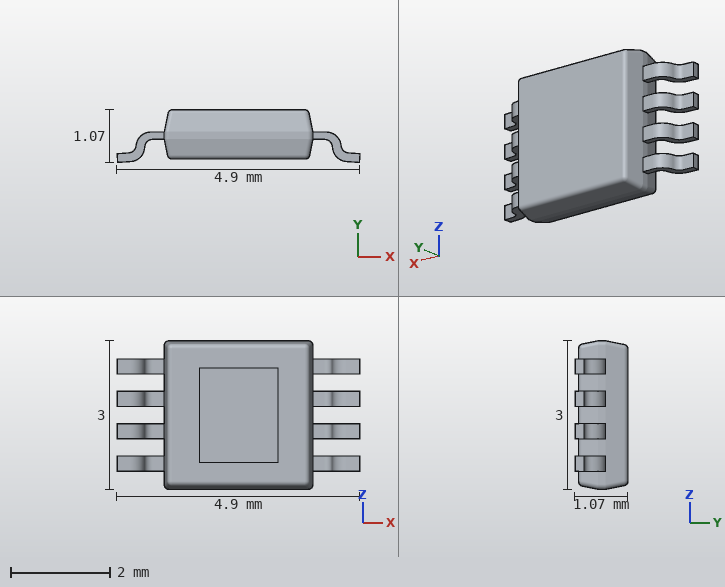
import cadquery as cq
import math

LEAD_SPAN = 4.9
BODY_SIDE = 3.0
FRONT_DEPTH = 0.395
BAND_DEPTH = 0.15
BACK_DEPTH = 0.45
DRAFT_ANGLE = 11.5
BODY_FILLET = 0.1

PAD_WIDTH = 1.585
PAD_HEIGHT = 1.9
PAD_THICKNESS = 0.15

LEADS_PER_ROW = 4
LEAD_PITCH = 0.65
LEAD_WIDTH = 0.31
LEAD_THICKNESS = 0.18
SHOULDER_REACH = 2.02
WEB_ANGLE = 10.0
FOOT_ANGLE = 4.0
FOOT_STANDOFF = 0.07
INNER_BEND_RADIUS = 0.15
OUTER_BEND_RADIUS = 0.3

BODY_HALF = BODY_SIDE / 2
BAND_FRONT = FRONT_DEPTH
BAND_BACK = BAND_FRONT + BAND_DEPTH
BODY_BACK = BAND_BACK + BACK_DEPTH


def square_slab(y_start, depth, taper=0.0):
    """Slab with the full square at y_start; a negative depth grows towards -Y."""
    plane = cq.Workplane("XZ", origin=(0, y_start, 0))
    return plane.rect(BODY_SIDE, BODY_SIDE).extrude(-depth, taper=taper)


def make_pad():
    """Rectangular pad, flush with the front face of the housing."""
    return cq.Workplane("XZ").rect(PAD_WIDTH, PAD_HEIGHT).extrude(-PAD_THICKNESS)


def make_housing(pad):
    """Housing tapered both ways from its band, rounded, with a recess for the pad."""
    band = square_slab(BAND_FRONT, BAND_DEPTH)
    front = square_slab(BAND_FRONT, -FRONT_DEPTH, DRAFT_ANGLE)
    back = square_slab(BAND_BACK, BACK_DEPTH, DRAFT_ANGLE)
    block = band.union(front).union(back)

    corner_edges = block.edges("not(#Y)")
    face_edges = block.faces("<Y or >Y").edges()
    rounded = corner_edges.add(face_edges).fillet(BODY_FILLET)
    return rounded.cut(pad)


def meeting_point(start, direction, other_start, other_direction):
    """Point where two lines, each given by a point and a direction, cross."""
    (dx, dy), (ex, ey) = direction, other_direction
    gap_x = other_start[0] - start[0]
    gap_y = other_start[1] - start[1]
    along = (gap_x * ey - gap_y * ex) / (dx * ey - dy * ex)
    return (start[0] + along * dx, start[1] + along * dy)


def make_right_lead(z):
    """Gull-wing lead on the +X side, centred at height z and butting on the band."""
    web_lean = math.radians(WEB_ANGLE)
    foot_slope = math.radians(FOOT_ANGLE)
    shoulder = (1.0, 0.0)
    web = (math.sin(web_lean), -math.cos(web_lean))
    foot = (math.cos(foot_slope), -math.sin(foot_slope))

    tip_back = (LEAD_SPAN / 2, LEAD_THICKNESS * math.cos(foot_slope) - FOOT_STANDOFF)
    tip_front = (tip_back[0] - LEAD_THICKNESS * math.sin(foot_slope), -FOOT_STANDOFF)

    root_back = (BODY_HALF, BAND_BACK)
    root_front = (BODY_HALF, BAND_FRONT)
    upper_outer = (SHOULDER_REACH, BAND_BACK)
    web_inside = (SHOULDER_REACH - LEAD_THICKNESS / math.cos(web_lean), BAND_BACK)

    upper_inner = meeting_point(web_inside, web, root_front, shoulder)
    lower_inner = meeting_point(upper_outer, web, tip_back, foot)
    lower_outer = meeting_point(web_inside, web, tip_front, foot)

    outline = [root_back, upper_outer, lower_inner, tip_back]
    outline += [tip_front, lower_outer, upper_inner, root_front]
    lead = (
        cq.Workplane("XY", origin=(0, 0, z))
        .polyline(outline)
        .close()
        .extrude(LEAD_WIDTH / 2, both=True)
    )

    bends = [
        (upper_outer, OUTER_BEND_RADIUS),
        (upper_inner, INNER_BEND_RADIUS),
        (lower_outer, OUTER_BEND_RADIUS),
        (lower_inner, INNER_BEND_RADIUS),
    ]
    for (x, y), radius in bends:
        bend_edge = cq.selectors.NearestToPointSelector((x, y, z))
        lead = lead.edges(bend_edge).fillet(radius)
    return lead


def make_leads():
    """Two mirrored rows of leads, evenly spaced about Z = 0."""
    leads = []
    for i in range(LEADS_PER_ROW):
        z = (i - (LEADS_PER_ROW - 1) / 2) * LEAD_PITCH
        right_lead = make_right_lead(z)
        leads += [right_lead, right_lead.mirror("YZ")]
    return leads


pad = make_pad()
housing = make_housing(pad)
leads = make_leads()

bodies = [housing, pad, *leads]
result = cq.Compound.makeCompound([body.solids().val() for body in bodies])